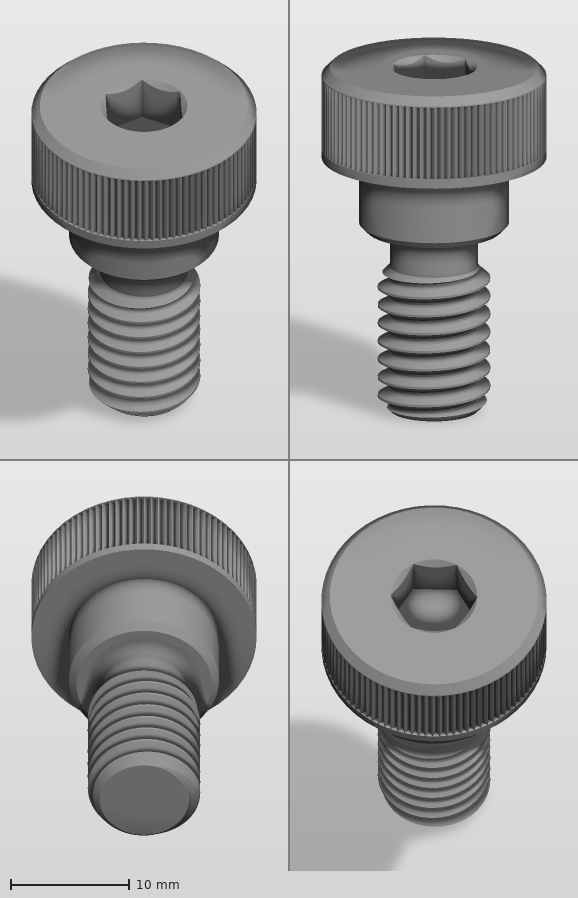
import cadquery as cq
import math

HEAD_DIAMETER = 19.05
HEAD_HEIGHT = 7.9375
HEAD_CHAMFER = 0.7

KNURL_COUNT = 99
KNURL_END_MARGIN = HEAD_HEIGHT / 10
KNURL_GROOVE_ANGLE = math.radians(60)
KNURL_TIP_WIDTH = 0.05

SOCKET_ACROSS_FLATS = 6.35
SOCKET_DEPTH = HEAD_HEIGHT / 2

SHOULDER_DIAMETER = 12.7
SHOULDER_LENGTH = 6.35
SHOULDER_CHAMFER = 0.61

THREAD_DIAMETER = 9.525
THREAD_PITCH = 25.4 / 16
THREADED_END_LENGTH = 15.875
THREAD_SHARP_HEIGHT = THREAD_PITCH * math.sqrt(3) / 2
THREAD_DEPTH = 0.75 * THREAD_SHARP_HEIGHT
THREAD_FLANK_ANGLE = math.radians(30)
THREAD_START_RISE = THREAD_PITCH * 5 / 6
RIDGE_OVERLAP = 0.1

NECK_LENGTH = 2 * THREAD_PITCH
NECK_FILLET = 1.016

HEAD_RADIUS = HEAD_DIAMETER / 2
SHOULDER_RADIUS = SHOULDER_DIAMETER / 2
CREST_RADIUS = THREAD_DIAMETER / 2
ROOT_RADIUS = CREST_RADIUS - THREAD_DEPTH
SHOULDER_BOTTOM = -SHOULDER_LENGTH
THREAD_TOP = SHOULDER_BOTTOM - NECK_LENGTH
TIP = SHOULDER_BOTTOM - THREADED_END_LENGTH


def make_head_and_shoulder():
    head = cq.Workplane("XY").circle(HEAD_RADIUS).extrude(HEAD_HEIGHT)
    head = head.faces(">Z").edges().chamfer(HEAD_CHAMFER)
    shoulder = cq.Workplane("XY").circle(SHOULDER_RADIUS).extrude(SHOULDER_BOTTOM)
    shoulder = shoulder.faces("<Z").edges().chamfer(SHOULDER_CHAMFER)
    return head.union(shoulder)


def make_knurl_ring():
    """Material to remove from the head: a ring that leaves a row of teeth, one at -Y."""
    pitch_angle = 2 * math.pi / KNURL_COUNT
    half_tip_angle = KNURL_TIP_WIDTH / (2 * HEAD_RADIUS)
    half_groove_width = HEAD_RADIUS * math.sin(pitch_angle / 2 - half_tip_angle)
    groove_depth = half_groove_width / math.tan(KNURL_GROOVE_ANGLE / 2)
    valley_radius = HEAD_RADIUS - groove_depth

    def polar(radius, angle):
        return (radius * math.cos(angle), radius * math.sin(angle))

    toothed_outline = []
    for index in range(KNURL_COUNT):
        tip_angle = index * pitch_angle - math.pi / 2
        toothed_outline.append(polar(HEAD_RADIUS, tip_angle - half_tip_angle))
        toothed_outline.append(polar(HEAD_RADIUS, tip_angle + half_tip_angle))
        toothed_outline.append(polar(valley_radius, tip_angle + pitch_angle / 2))

    length = HEAD_HEIGHT - 2 * KNURL_END_MARGIN
    base = cq.Workplane("XY").workplane(offset=KNURL_END_MARGIN)
    teeth = base.polyline(toothed_outline).close().extrude(length)
    outer_radius = HEAD_RADIUS + KNURL_END_MARGIN
    return base.circle(outer_radius).extrude(length).cut(teeth)


def make_socket():
    corner_radius = SOCKET_ACROSS_FLATS / math.sqrt(3)
    hexagon = (
        cq.Workplane("XY")
        .workplane(offset=HEAD_HEIGHT - SOCKET_DEPTH)
        .polygon(6, 2 * corner_radius)
        .extrude(SOCKET_DEPTH)
        .rotate((0, 0, 0), (0, 0, 1), 30)
    )
    cone_apex = cq.Vector(0, 0, HEAD_HEIGHT - corner_radius)
    countersink = cq.Workplane(cq.Solid.makeCone(0, corner_radius, corner_radius, pnt=cone_apex))
    return hexagon.union(countersink)


def make_thread_ridge():
    """Right-hand helical ridge, cut to 45 degree cones where it starts and ends."""
    run_out = 2 * THREAD_PITCH
    ridge_start = TIP + THREAD_START_RISE - run_out
    helix_length = THREAD_TOP - TIP + 2 * run_out
    helix = cq.Wire.makeHelix(THREAD_PITCH, helix_length, ROOT_RADIUS, cq.Vector(0, 0, ridge_start))

    base_radius = ROOT_RADIUS - RIDGE_OVERLAP
    half_crest = THREAD_PITCH / 16
    half_base = half_crest + (CREST_RADIUS - base_radius) * math.tan(THREAD_FLANK_ANGLE)
    ridge = (
        cq.Workplane("XZ", origin=(0, 0, ridge_start))
        .moveTo(base_radius, -half_base)
        .lineTo(base_radius, half_base)
        .lineTo(CREST_RADIUS, half_crest)
        .lineTo(CREST_RADIUS, -half_crest)
        .close()
        .sweep(cq.Workplane(helix), isFrenet=True)
    )

    cone_height = 1.5 * THREAD_DEPTH
    envelope_radius = ROOT_RADIUS + cone_height
    envelope = (
        cq.Workplane("XZ")
        .moveTo(0, TIP)
        .lineTo(ROOT_RADIUS, TIP)
        .lineTo(envelope_radius, TIP + cone_height)
        .lineTo(envelope_radius, THREAD_TOP - cone_height)
        .lineTo(ROOT_RADIUS, THREAD_TOP)
        .lineTo(0, THREAD_TOP)
        .close()
        .revolve(360, (0, 0, 0), (0, 1, 0))
    )
    return envelope.intersect(ridge)


def make_core():
    """Plain rod at the root radius that fills the thread root and forms the filleted neck."""
    flare_radius = ROOT_RADIUS + NECK_FILLET
    return (
        cq.Workplane("XZ")
        .moveTo(0, TIP)
        .lineTo(ROOT_RADIUS, TIP)
        .lineTo(ROOT_RADIUS, SHOULDER_BOTTOM - NECK_FILLET)
        .radiusArc((flare_radius, SHOULDER_BOTTOM), NECK_FILLET)
        .lineTo(0, SHOULDER_BOTTOM)
        .close()
        .revolve(360, (0, 0, 0), (0, 1, 0))
    )


head_and_shoulder = make_head_and_shoulder().cut(make_knurl_ring()).cut(make_socket())
threaded_end = make_core().union(make_thread_ridge())
result = head_and_shoulder.union(threaded_end)